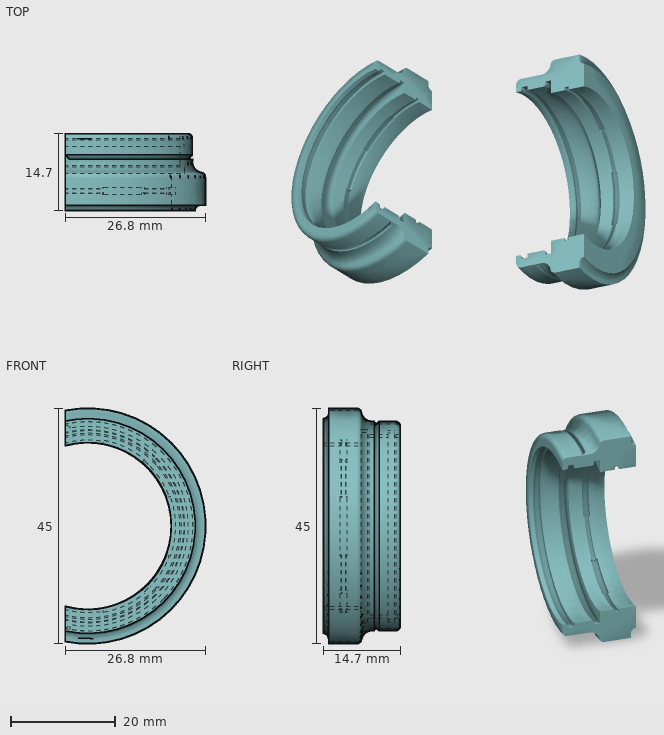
import cadquery as cq
import math


ring_length = 14.7
flange_radius = 22.5
cut_plane_x = -4.34

front_cove_radius = 1.0
front_rim_radius = 20.5
flange_round_radius = 1.0
neck_cove_radius = 2.0
neck_cove_end_y = 9.25
barrel_radius = 20.0
barrel_round_radius = 1.0

v_groove_front_y = 9.75
v_groove_size = 0.9

front_bore_radius = 15.9
rear_bore_radius = 17.5
inner_groove_width = 1.21
inner_groove_chamfer = 0.3
step_groove_front_y = 7.15
step_groove_radius = 18.45
rear_groove_front_y = 12.3
rear_groove_radius = 18.3

narrow_groove_y = 3.8
narrow_groove_width = 0.8
narrow_groove_radius = 16.5
narrow_groove_chamfer = 0.1
pocket_width = 1.35
pocket_radius = 16.7
pocket_spans = [(-80, -50), (-20, 20), (50, 80)]


def turn(profile):
    """Revolve a closed (radius, y) profile fully about the Y axis."""
    return profile.close().revolve(360, (0, 0, 0), (0, 1, 0))


def arc_middle(center, radius, start_angle, end_angle):
    """Point halfway along an arc, with angles in radians from the radial direction."""
    angle = (start_angle + end_angle) / 2
    return (center[0] + radius * math.cos(angle), center[1] + radius * math.sin(angle))


def turned_blank():
    """Full ring with the outer contour and the small front bore."""
    cove_top_radius = front_rim_radius + front_cove_radius
    front_cove_middle = arc_middle((cove_top_radius, 0), front_cove_radius, math.pi, math.pi / 2)

    neck_center = (barrel_radius + neck_cove_radius, neck_cove_end_y)
    round_center_radius = flange_radius - flange_round_radius
    center_distance = flange_round_radius + neck_cove_radius
    round_center_y = neck_cove_end_y - math.sqrt(
        center_distance**2 - (neck_center[0] - round_center_radius) ** 2
    )
    round_center = (round_center_radius, round_center_y)
    tangent_angle = math.acos((neck_center[0] - round_center_radius) / center_distance)
    tangent_point = (
        round_center[0] + flange_round_radius * math.cos(tangent_angle),
        round_center[1] + flange_round_radius * math.sin(tangent_angle),
    )
    round_middle = arc_middle(round_center, flange_round_radius, 0, tangent_angle)
    neck_middle = arc_middle(neck_center, neck_cove_radius, tangent_angle + math.pi, math.pi)

    barrel_round_center = (barrel_radius - barrel_round_radius, ring_length - barrel_round_radius)
    barrel_round_middle = arc_middle(barrel_round_center, barrel_round_radius, 0, math.pi / 2)

    return turn(
        cq.Workplane("XY")
        .moveTo(front_bore_radius, 0)
        .lineTo(front_rim_radius, 0)
        .threePointArc(front_cove_middle, (cove_top_radius, front_cove_radius))
        .lineTo(flange_radius, front_cove_radius)
        .lineTo(flange_radius, round_center_y)
        .threePointArc(round_middle, tangent_point)
        .threePointArc(neck_middle, (barrel_radius, neck_cove_end_y))
        .lineTo(barrel_radius, barrel_round_center[1])
        .threePointArc(barrel_round_middle, (barrel_round_center[0], ring_length))
        .lineTo(front_bore_radius, ring_length)
    )


def rear_bore():
    """Larger bore from the step to the rear face."""
    return turn(
        cq.Workplane("XY").polyline([
            (0, step_groove_front_y),
            (rear_bore_radius, step_groove_front_y),
            (rear_bore_radius, ring_length),
            (0, ring_length),
        ])
    )


def inner_groove(front_y, groove_radius):
    """Groove in the rear bore with a chamfered rear lip."""
    rear_y = front_y + inner_groove_width
    return turn(
        cq.Workplane("XY").polyline([
            (front_bore_radius, front_y),
            (groove_radius, front_y),
            (groove_radius, rear_y),
            (rear_bore_radius + inner_groove_chamfer, rear_y),
            (rear_bore_radius, rear_y + inner_groove_chamfer),
            (front_bore_radius, rear_y + inner_groove_chamfer),
        ])
    )


def narrow_groove():
    """Narrow groove in the front bore with both lips chamfered."""
    half_width = narrow_groove_width / 2
    half_opening = half_width + narrow_groove_chamfer
    chamfer_radius = front_bore_radius + narrow_groove_chamfer
    return turn(
        cq.Workplane("XY").polyline([
            (0, narrow_groove_y - half_opening),
            (front_bore_radius, narrow_groove_y - half_opening),
            (chamfer_radius, narrow_groove_y - half_width),
            (narrow_groove_radius, narrow_groove_y - half_width),
            (narrow_groove_radius, narrow_groove_y + half_width),
            (chamfer_radius, narrow_groove_y + half_width),
            (front_bore_radius, narrow_groove_y + half_opening),
            (0, narrow_groove_y + half_opening),
        ])
    )


def pocket(start_angle, end_angle):
    """Wider, deeper stretch of the narrow groove between two angles."""
    return (
        cq.Workplane("XY")
        .moveTo(0, narrow_groove_y - pocket_width / 2)
        .rect(pocket_radius, pocket_width, centered=False)
        .revolve(end_angle - start_angle, (0, 0, 0), (0, 1, 0))
        .rotate((0, 0, 0), (0, 1, 0), -end_angle)
    )


def v_groove():
    """V groove that stops at a 45 degree end wall just short of the flat cut."""
    rear_y = v_groove_front_y + v_groove_size
    ring = turn(
        cq.Workplane("XY").polyline([
            (barrel_radius - v_groove_size, v_groove_front_y),
            (flange_radius, v_groove_front_y),
            (flange_radius, rear_y),
            (barrel_radius, rear_y),
        ])
    )
    kept_zone = (
        cq.Workplane("XY")
        .polyline([
            (cut_plane_x + v_groove_size, v_groove_front_y),
            (flange_radius, v_groove_front_y),
            (flange_radius, rear_y),
            (cut_plane_x, rear_y),
        ])
        .close()
        .extrude(flange_radius, both=True)
    )
    return ring.intersect(kept_zone)


def seal_half():
    """Complete ring segment."""
    body = turned_blank().cut(rear_bore())
    body = body.cut(inner_groove(step_groove_front_y, step_groove_radius))
    body = body.cut(inner_groove(rear_groove_front_y, rear_groove_radius))
    body = body.cut(narrow_groove())
    for start_angle, end_angle in pocket_spans:
        body = body.cut(pocket(start_angle, end_angle))
    body = body.cut(v_groove())
    kept_side = (
        cq.Workplane("XY")
        .box(flange_radius - cut_plane_x, ring_length, 2 * flange_radius, centered=(False, False, True))
        .translate((cut_plane_x, 0, 0))
    )
    return body.intersect(kept_side)


ring_segment = seal_half()

result = cq.Compound.makeCompound([ring_segment.val()])